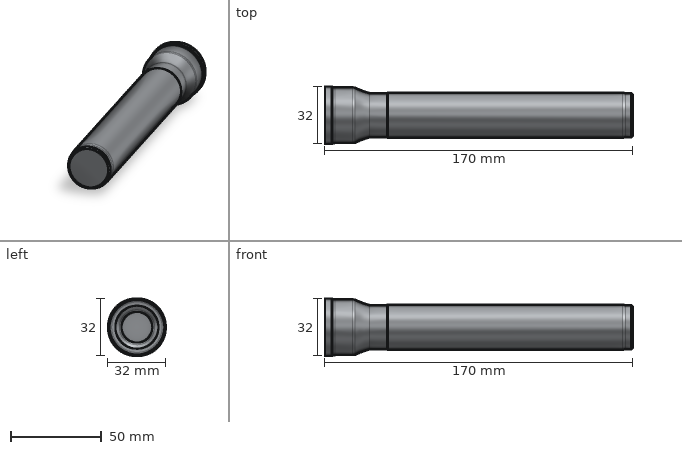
import cadquery as cq


length = 170.0
rim_radius = 32.0 / 2
bell_radius = 31.0 / 2
neck_radius = 24.5 / 2
barrel_radius = 25.0 / 2

rim_end = 3.7
rim_edge_end = 4.2
rim_taper_height = 0.08
rim_edge_radius = bell_radius + rim_taper_height
rim_taper_end = 5.6
bell_end = 15.1
bell_edge_end = 16.5
bell_edge_radius = 15.3
flare_end = 24.6
flare_sag = 0.25
joint_x = 34.3

rim_face_radius = 15.1
dish_step_radius = 14.6
dish_step_depth = 0.2
dish_edge_radius = 14.0
dish_edge_depth = 0.25
dish_inner_radius = 11.9
dish_inner_depth = 0.3
recess_radius = 11.5
recess_depth = 0.7
recess_mid_radius = 9.7
recess_mid_depth = 1.9
lens_radius = 8.5
lens_depth = 2.5

front_chamfer_length = 0.5
rear_land_start = 166.0
rear_taper_length = 1.5
tail_chamfer = 1.0


def make_head():
    """Turned head with its bell, concave flare, neck and dished front face."""
    flare_middle = (
        (bell_edge_end + flare_end) / 2,
        (bell_edge_radius + neck_radius) / 2 - flare_sag,
    )
    profile = (
        cq.Workplane("XY")
        .moveTo(lens_depth, 0)
        .lineTo(lens_depth, lens_radius)
        .lineTo(recess_mid_depth, recess_mid_radius)
        .lineTo(recess_depth, recess_radius)
        .lineTo(dish_inner_depth, dish_inner_radius)
        .lineTo(dish_edge_depth, dish_edge_radius)
        .lineTo(dish_step_depth, dish_step_radius)
        .lineTo(0, rim_face_radius)
        .lineTo(0, rim_radius)
        .lineTo(rim_end, rim_radius)
        .lineTo(rim_edge_end, rim_edge_radius)
        .lineTo(rim_taper_end, bell_radius)
        .lineTo(bell_end, bell_radius)
        .lineTo(bell_edge_end, bell_edge_radius)
        .threePointArc(flare_middle, (flare_end, neck_radius))
        .lineTo(joint_x, neck_radius)
        .lineTo(joint_x, 0)
        .close()
    )
    return profile.revolve(360, (0, 0, 0), (1, 0, 0))


def make_barrel():
    """Solid barrel with a chamfered front edge and a reduced tail."""
    profile = (
        cq.Workplane("XY")
        .moveTo(joint_x, 0)
        .lineTo(joint_x, neck_radius)
        .lineTo(joint_x + front_chamfer_length, barrel_radius)
        .lineTo(rear_land_start - rear_taper_length, barrel_radius)
        .lineTo(rear_land_start, neck_radius)
        .lineTo(length - tail_chamfer, neck_radius)
        .lineTo(length, neck_radius - tail_chamfer)
        .lineTo(length, 0)
        .close()
    )
    return profile.revolve(360, (0, 0, 0), (1, 0, 0))


head = make_head()
barrel = make_barrel()

result = cq.Compound.makeCompound([head.val(), barrel.val()])